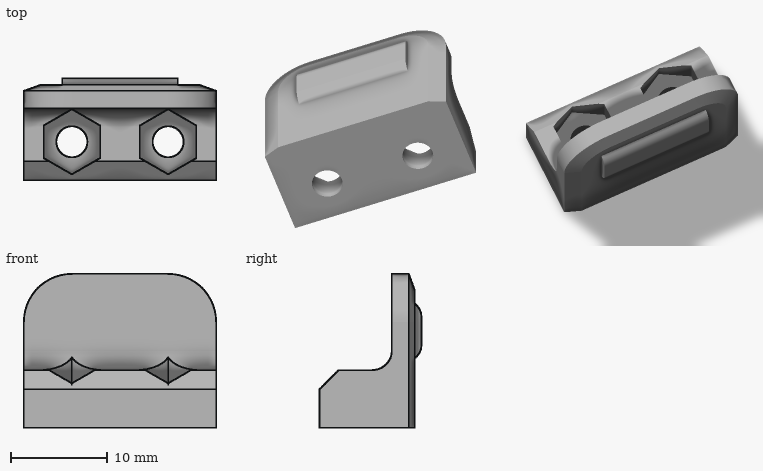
import cadquery as cq
import math

width = 20.0
height = 16.0
back_y = 9.9
plate_front_y = 7.5
corner_radius = 5.0

ledge_height = 6.0
front_chamfer = 2.0
inner_fillet = 2.0

bevel_depth = 0.62
bevel_inset = 1.7

pad_width = 12.0
pad_height = 5.7
pad_depth = 0.7
pad_center_z = 10.05
pad_edge_radius = 1.6
pad_slope = math.radians(45)

hole_diameter = 3.2
hole_spacing = 10.0
hole_y = 4.0
nut_across_flats = 5.85
nut_floor_z = 3.0


def make_profile_body():
    """L-shaped side profile extruded across the full width."""
    fillet_y = plate_front_y - inner_fillet
    fillet_z = ledge_height + inner_fillet
    return (
        cq.Workplane("YZ")
        .lineTo(back_y, 0)
        .lineTo(back_y, height)
        .lineTo(plate_front_y, height)
        .lineTo(plate_front_y, fillet_z)
        .radiusArc((fillet_y, ledge_height), inner_fillet)
        .lineTo(front_chamfer, ledge_height)
        .lineTo(0, ledge_height - front_chamfer)
        .close()
        .extrude(width)
    )


def outline(start_y, bottom_z):
    """Sketch of the round-cornered front outline, facing +Y from start_y."""
    arc_z = height - corner_radius
    arc_reach = corner_radius * math.sqrt(0.5)
    mid_inset = corner_radius - arc_reach
    plane = cq.Plane(origin=(0, start_y, 0), xDir=(-1, 0, 0), normal=(0, 1, 0))
    return (
        cq.Workplane(plane)
        .moveTo(0, bottom_z)
        .lineTo(-width, bottom_z)
        .lineTo(-width, arc_z)
        .threePointArc((mid_inset - width, height - mid_inset), (corner_radius - width, height))
        .lineTo(-corner_radius, height)
        .threePointArc((-mid_inset, height - mid_inset), (0, arc_z))
        .close()
    )


def make_envelope():
    """Rounded outline, straight up to the bevel and tapered behind it."""
    bevel_start_y = back_y - bevel_depth
    bevel_angle = math.degrees(math.atan2(bevel_inset, bevel_depth))
    straight = outline(0, 0).extrude(bevel_start_y)
    tapered = outline(bevel_start_y, -2 * bevel_inset).extrude(bevel_depth, taper=bevel_angle)
    return straight.union(tapered)


def make_pad():
    """Rear pad with sloped flanks blended into its outer face by arcs."""
    outer_y = back_y + pad_depth
    arc_rise = pad_edge_radius * math.sin(pad_slope)
    arc_depth = pad_edge_radius * (1 - math.cos(pad_slope))
    arc_start_y = outer_y - arc_depth
    flank_rise = (pad_depth - arc_depth) * math.tan(pad_slope)
    half_height = pad_height / 2
    half_blend = half_height - flank_rise
    half_flat = half_blend - arc_rise
    root_y = back_y - bevel_depth
    return (
        cq.Workplane("YZ", origin=((width - pad_width) / 2, 0, pad_center_z))
        .moveTo(root_y, -half_height)
        .lineTo(back_y, -half_height)
        .lineTo(arc_start_y, -half_blend)
        .radiusArc((outer_y, -half_flat), -pad_edge_radius)
        .lineTo(outer_y, half_flat)
        .radiusArc((arc_start_y, half_blend), -pad_edge_radius)
        .lineTo(back_y, half_height)
        .lineTo(root_y, half_height)
        .close()
        .extrude(pad_width)
    )


def make_screw_cut(x):
    """Through hole below a nut pocket with two corners along Y."""
    across_corners = nut_across_flats / math.cos(math.pi / 6)
    hole = cq.Workplane("XY").center(x, hole_y).circle(hole_diameter / 2).extrude(height)
    pocket = (
        cq.Workplane("XY", origin=(x, hole_y, nut_floor_z))
        .transformed(rotate=(0, 0, 90))
        .polygon(6, across_corners)
        .extrude(height - nut_floor_z)
    )
    return hole.union(pocket)


result = make_profile_body().intersect(make_envelope()).union(make_pad())
for side in (-1, 1):
    result = result.cut(make_screw_cut(width / 2 + side * hole_spacing / 2))